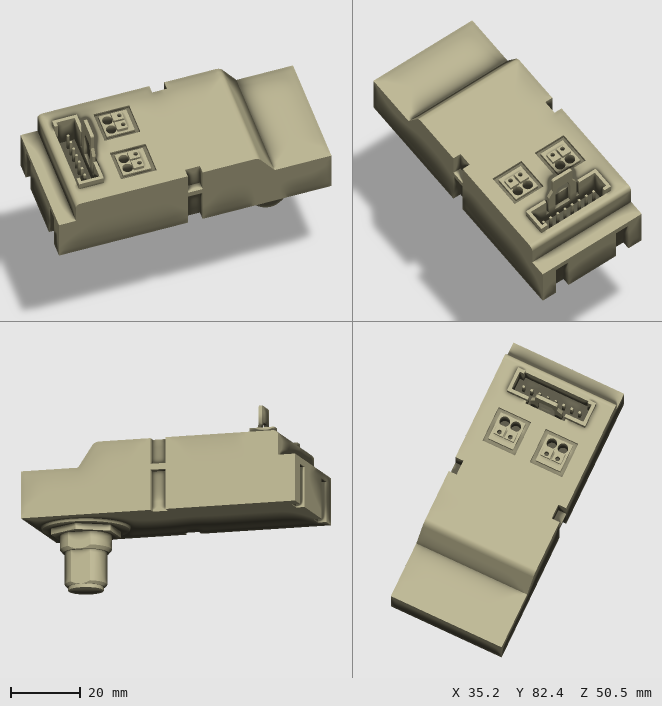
import cadquery as cq
import math

WIDTH = 35.2
LENGTH = 82.4
HEIGHT = 21.1
SHOULDER_HEIGHT = 13.8
FRONT_SHOULDER = 5.1
REAR_SHOULDER = 17.15
REAR_SLOPE_RUN = 4.95
FRONT_EDGE_RADIUS = 1.5
REAR_EDGE_RADIUS = 2.5

NOTCH_WIDTH = 4.5
NOTCH_DEPTH = 2.5
NOTCH_HEIGHT = 11.8
SIDE_WEB_TOP = 13.55
FRONT_NOTCH_X = 10.65

TERMINAL_X = 7.5
TERMINAL_Y = -15.4
TERMINAL_OPENING = (10.3, 10.8)
TERMINAL_BLOCK = (7.9, 8.5)
TERMINAL_BLOCK_Y = -15.5
TERMINAL_MOAT_DEPTH = 1.0
POLE_PITCH = 3.5
BUTTON_SIZE = (2.9, 3.1)
BUTTON_Y = -14.7
BUTTON_HEIGHT = 1.0
BUTTON_HOLE_Y = -14.1
BUTTON_HOLE_DIAMETER = 1.35
BUTTON_HOLE_DEPTH = 2.0
WIRE_HOLE_Y = -17.7
WIRE_HOLE_DIAMETER = 3.05
WIRE_HOLE_DEPTH = 6.0

HEADER_WIDTH = 24.8
HEADER_REAR_Y = -25.9
HEADER_LENGTH = 7.5
HEADER_RISE = 2.2
HEADER_WALL = 1.0
HEADER_DEPTH = 7.5
HEADER_MOUTH_WIDTH = 20.2
PIN_COUNT = 8
PIN_PITCH = 2.54
PIN_SIZE = 0.7
PIN_Y = -29.7
PIN_TOP = 19.3

LATCH_GAP_WIDTH = 11.7
LATCH_RELIEF_WIDTH = 12.4
LATCH_RELIEF_LENGTH = 0.75
LATCH_BASE = 16.95
LATCH_TOP = 31.9
LATCH_FOOT_HALF = 4.9
LATCH_HEAD_HALF = 3.45
LATCH_TAPER_START = 24.4
LATCH_TAPER_END = 26.7
LATCH_CORNER_RADIUS = 0.6
WINDOW_FOOT_HALF = 2.65
WINDOW_HEAD_HALF = 1.85
WINDOW_TAPER_START = 24.6
WINDOW_TOP = 27.05

CONNECTOR_Y = 27.05
CONNECTOR_END = -18.55
WASHER_DIAMETER = 26.0
WASHER_BOTTOM = -0.75
WASHER_CHAMFER_HEIGHT = 0.7
WASHER_CHAMFER_RADIAL = 0.4
NUT_ACROSS_FLATS = 17.95
NUT_BOTTOM = -2.5
COLLAR_DIAMETER = 15.0
COLLAR_ACROSS_FLATS = 13.4
COLLAR_BOTTOM = -7.5
COLLAR_CHAMFER_HEIGHT = 1.0
BARREL_DIAMETER = 12.3
BARREL_ACROSS_FLATS = 10.85
BARREL_BOTTOM = -17.5
BARREL_CHAMFER_HEIGHT = 0.75
TIP_DIAMETER = 10.24

FRONT_Y = -LENGTH / 2
REAR_Y = LENGTH / 2
HEADER_FRONT_Y = HEADER_REAR_Y - HEADER_LENGTH
HEADER_FLOOR = HEIGHT - HEADER_DEPTH


def box(x_range, y_range, z_range):
    """Box spanning the given (low, high) ranges."""
    size = [high - low for low, high in (x_range, y_range, z_range)]
    return cq.Workplane("XY").box(*size, centered=False).translate((x_range[0], y_range[0], z_range[0]))


def centered_box(x, y, size, z_range):
    """Box centred on (x, y) with plan size (width, length)."""
    half_width = size[0] / 2
    half_length = size[1] / 2
    return box((x - half_width, x + half_width), (y - half_length, y + half_length), z_range)


def cylinder(x, y, diameter, z_range):
    low, high = z_range
    return cq.Workplane("XY").workplane(offset=low).center(x, y).circle(diameter / 2).extrude(high - low)


def make_housing():
    front_step_y = FRONT_Y + FRONT_SHOULDER
    rear_step_y = REAR_Y - REAR_SHOULDER
    outline = [
        (FRONT_Y, 0),
        (REAR_Y, 0),
        (REAR_Y, SHOULDER_HEIGHT),
        (rear_step_y, SHOULDER_HEIGHT),
        (rear_step_y - REAR_SLOPE_RUN, HEIGHT),
        (front_step_y, HEIGHT),
        (front_step_y, SHOULDER_HEIGHT),
        (FRONT_Y, SHOULDER_HEIGHT),
    ]
    housing = cq.Workplane("YZ").polyline(outline).close().extrude(WIDTH / 2, both=True)
    housing = housing.edges("|X and >Z").edges("<Y").fillet(FRONT_EDGE_RADIUS)
    return housing.faces(">Z").edges(">Y").fillet(REAR_EDGE_RADIUS)


def cut_notches(body):
    for side in (-1, 1):
        side_size = (2 * NOTCH_DEPTH, NOTCH_WIDTH)
        body = body.cut(centered_box(side * WIDTH / 2, 0, side_size, (0, NOTCH_HEIGHT)))
        body = body.cut(centered_box(side * WIDTH / 2, 0, side_size, (SIDE_WEB_TOP, HEIGHT)))
        front_size = (NOTCH_WIDTH, 2 * NOTCH_DEPTH)
        body = body.cut(centered_box(side * FRONT_NOTCH_X, FRONT_Y, front_size, (0, NOTCH_HEIGHT)))
    return body


def add_terminal(body, x):
    moat_range = (HEIGHT - TERMINAL_MOAT_DEPTH, HEIGHT)
    wire_hole_range = (HEIGHT - WIRE_HOLE_DEPTH, HEIGHT)
    button_top = HEIGHT + BUTTON_HEIGHT
    body = body.cut(centered_box(x, TERMINAL_Y, TERMINAL_OPENING, moat_range))
    body = body.union(centered_box(x, TERMINAL_BLOCK_Y, TERMINAL_BLOCK, moat_range))
    for side in (-1, 1):
        pole_x = x + side * POLE_PITCH / 2
        button_hole_range = (button_top - BUTTON_HOLE_DEPTH, button_top)
        body = body.cut(cylinder(pole_x, WIRE_HOLE_Y, WIRE_HOLE_DIAMETER, wire_hole_range))
        body = body.union(centered_box(pole_x, BUTTON_Y, BUTTON_SIZE, (wire_hole_range[0], button_top)))
        body = body.cut(cylinder(pole_x, BUTTON_HOLE_Y, BUTTON_HOLE_DIAMETER, button_hole_range))
    return body


def add_header(body):
    shroud_top = HEIGHT + HEADER_RISE
    outer_half = HEADER_WIDTH / 2
    inner_half = outer_half - HEADER_WALL
    mouth_half = HEADER_MOUTH_WIDTH / 2
    inner_front_y = HEADER_FRONT_Y + HEADER_WALL
    inner_rear_y = HEADER_REAR_Y - HEADER_WALL
    cavity_range = (HEADER_FLOOR, shroud_top)

    body = body.union(box((-outer_half, outer_half), (HEADER_FRONT_Y, HEADER_REAR_Y), (HEIGHT, shroud_top)))
    body = body.cut(box((-inner_half, inner_half), (inner_front_y, inner_rear_y), cavity_range))
    body = body.cut(box((-mouth_half, mouth_half), (HEADER_FRONT_Y, inner_front_y), cavity_range))
    for index in range(PIN_COUNT):
        pin_x = (index - (PIN_COUNT - 1) / 2) * PIN_PITCH
        body = body.union(centered_box(pin_x, PIN_Y, (PIN_SIZE, PIN_SIZE), (HEADER_FLOOR, PIN_TOP)))
    return body


def cut_latch_seat(body):
    gap_half = LATCH_GAP_WIDTH / 2
    relief_half = LATCH_RELIEF_WIDTH / 2
    gap_y = (HEADER_REAR_Y - HEADER_WALL, HEADER_REAR_Y)
    relief_y = (HEADER_REAR_Y, HEADER_REAR_Y + LATCH_RELIEF_LENGTH)
    body = body.cut(box((-gap_half, gap_half), gap_y, (LATCH_BASE, HEIGHT + HEADER_RISE)))
    return body.cut(box((-relief_half, relief_half), relief_y, (HEADER_FLOOR, HEIGHT)))


def latch_profile(foot_half, head_half, taper_start, taper_end, top):
    """Symmetric upright plate, narrowing from its foot to its head."""
    right_side = [
        (foot_half, LATCH_BASE),
        (foot_half, taper_start),
        (head_half, taper_end),
    ]
    if top > taper_end:
        right_side.append((head_half, top))
    left_side = [(-x, z) for x, z in reversed(right_side)]
    sketch = cq.Workplane("XZ", origin=(0, HEADER_REAR_Y, 0)).polyline(right_side + left_side).close()
    return sketch.extrude(HEADER_WALL)


def make_latch():
    plate = latch_profile(LATCH_FOOT_HALF, LATCH_HEAD_HALF, LATCH_TAPER_START, LATCH_TAPER_END, LATCH_TOP)
    plate = plate.faces(">Z").edges("|Y").fillet(LATCH_CORNER_RADIUS)
    window = latch_profile(WINDOW_FOOT_HALF, WINDOW_HEAD_HALF, WINDOW_TAPER_START, WINDOW_TOP, WINDOW_TOP)
    return plate.cut(window)


def flatted_section(diameter, across_flats, top, bottom, chamfer_height):
    """Round section with two flats facing -X and +X and a lower chamfer reaching down to the flats."""
    chamfer_radial = (diameter - across_flats) / 2
    section = cylinder(0, CONNECTOR_Y, diameter, (bottom, top))
    section = section.faces("<Z").chamfer(chamfer_height, chamfer_radial)
    return section.intersect(centered_box(0, CONNECTOR_Y, (across_flats, diameter), (bottom, top)))


def make_connector():
    nut_across_corners = NUT_ACROSS_FLATS / math.cos(math.pi / 6)
    washer = cylinder(0, CONNECTOR_Y, WASHER_DIAMETER, (WASHER_BOTTOM, 0))
    washer = washer.faces("<Z").chamfer(WASHER_CHAMFER_HEIGHT, WASHER_CHAMFER_RADIAL)
    nut = cq.Workplane("XY").workplane(offset=NUT_BOTTOM).center(0, CONNECTOR_Y)
    nut = nut.polygon(6, nut_across_corners).extrude(WASHER_BOTTOM - NUT_BOTTOM)
    collar = flatted_section(
        COLLAR_DIAMETER, COLLAR_ACROSS_FLATS, NUT_BOTTOM, COLLAR_BOTTOM, COLLAR_CHAMFER_HEIGHT
    )
    barrel = flatted_section(
        BARREL_DIAMETER, BARREL_ACROSS_FLATS, COLLAR_BOTTOM, BARREL_BOTTOM, BARREL_CHAMFER_HEIGHT
    )
    tip = cylinder(0, CONNECTOR_Y, TIP_DIAMETER, (CONNECTOR_END, BARREL_BOTTOM))
    return washer.union(nut).union(collar).union(barrel).union(tip)


body = cut_notches(make_housing())
for side in (-1, 1):
    body = add_terminal(body, side * TERMINAL_X)
body = cut_latch_seat(add_header(body))
result = body.union(make_latch()).union(make_connector())